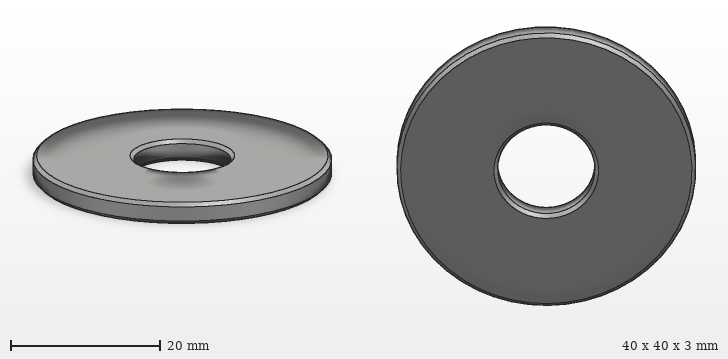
import cadquery as cq

outer_diameter = 40.0
bore_diameter = 13.0
thickness = 3.0
edge_chamfer = thickness / 6

ring = (
    cq.Workplane("XY")
    .circle(outer_diameter / 2)
    .circle(bore_diameter / 2)
    .extrude(thickness)
)

result = ring.faces("<Z or >Z").edges().chamfer(edge_chamfer)